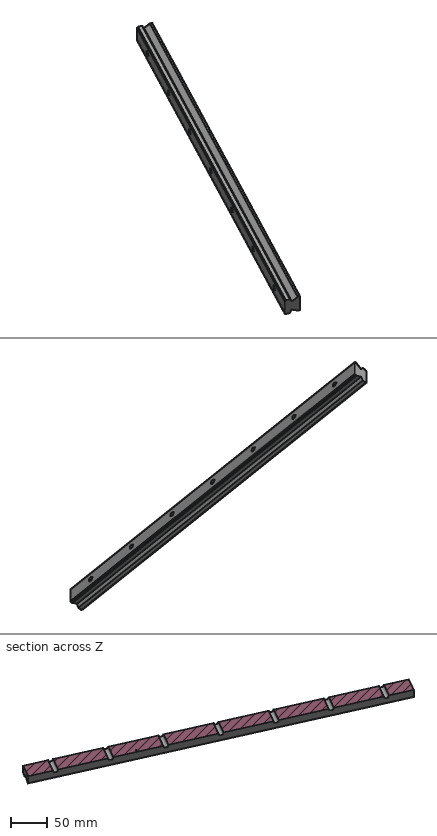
import cadquery as cq

length = 560.0
height = 23.0
width = 28.0

base_edge_height = 7.5
groove_floor_height = 10.6
groove_top_height = 17.7
head_edge_height = 19.3
groove_floor_half_width = 8.5
groove_top_half_width = 12.5

base_chamfer = 1.8
head_chamfer = 0.8

hole_diameter = 7.0
hole_pitch = 80.0
hole_count = 7


def make_rail():
    """Extrude the symmetric rail section along X, centred on the origin."""
    half_width = width / 2
    upper_half = [
        (0, half_width - base_chamfer),
        (base_chamfer, half_width),
        (base_edge_height, half_width),
        (groove_floor_height, groove_floor_half_width),
        (groove_top_height, groove_top_half_width),
        (head_edge_height, half_width),
        (height - head_chamfer, half_width),
        (height, half_width - head_chamfer),
    ]
    lower_half = [(y, -z) for y, z in reversed(upper_half)]
    outline = [(y - height / 2, z) for y, z in upper_half + lower_half]
    section = cq.Workplane("YZ").polyline(outline).close()
    return section.extrude(length / 2, both=True)


def drill_mounting_holes(rail):
    """Drill the row of through holes along Y."""
    return (
        rail.faces("<Y").workplane(centerOption="CenterOfBoundBox")
        .rarray(hole_pitch, 1, hole_count, 1)
        .hole(hole_diameter)
    )


result = drill_mounting_holes(make_rail())